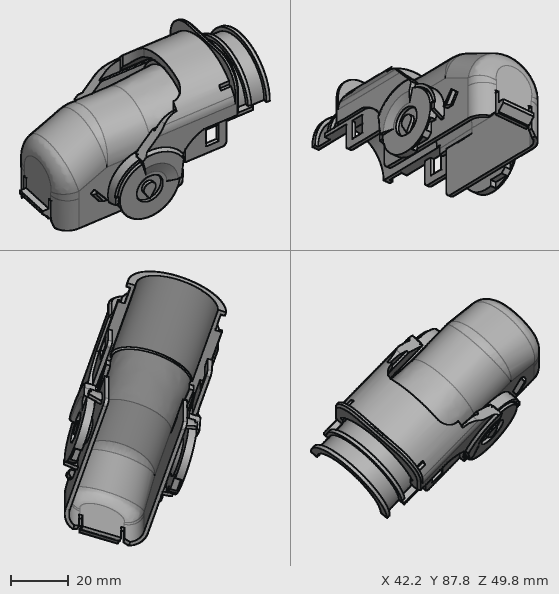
import cadquery as cq
import math


hood_half_width = 15.0
wall = 1.5
hood_axis_z = 12.8
hood_bottom_z = -9.3
skirt_back_y = 17.2
skirt_corner = 2.2
roof_start_y = 3.7
slope_start_y = -14.7
nose_y = -33.5
slope_angle = 24.8
crest_rounding = 8.8
nose_flat_half_width = 8.0
nose_rounding = hood_half_width - nose_flat_half_width

pipe_radius = 16.5
pipe_axis_z = 14.4
pipe_front_y = 21.5
pipe_back_y = 51.7
collar_radius = 18.0
end_collar_front_y = 50.2
mid_collar_back_y = 44.0
mid_collar_front_y = 42.6
neck_radius = 16.0
neck_axis_z = 13.2
neck_bottom_z = 10.5

rail_half_width = 19.0
rail_thickness = 1.6
tab_back_y = 32.8
tab_front_y = 15.5
tab_bottom_z = 3.9
tab_corner = 1.8
window_back_y = 29.7
window_front_y = 24.3
window_bottom_z = 7.0

lid_half_width = 20.0
lid_axis_z = 14.9
lid_radius = 21.6
lid_shoulder_rounding = 7.0
lid_inner_radius = 18.4
lid_inner_half_width = 16.95
lid_rail_half_width = 16.0
lid_shoulder_z = 21.9
lid_bottom_z = 16.2
lid_back_y = 37.6
lid_front_y = 12.7
opening_half_width = 15.5
opening_back_y = 18.1
opening_corner = 5.0
key_slot_front_y = 31.6
key_slot_bottom_z = 27.6
key_slot_top_z = 29.2
key_slot_inner_x = 16.25
plate_front_y = lid_back_y - 1.85
end_plate_top_z = 37.3
end_plate_corner = 11.0
end_plate_chamfer = 0.9

arm_heel_low = (13.2, 5.3)
arm_heel_high = (13.6, 8.4)
arm_underside_middle = (18.0, 13.7)
arm_underside_back_y = 22.8
arm_top_z = 27.1
arm_bend_middle = (9.7, 26.5)
arm_bend_end = (6.8, 24.85)
arm_front_corner = (-3.7, 14.05)
arm_tip_radius = 7.0
arm_edge_angle = math.radians(14.0)

disc_radius = 25.0 / 2
disc_inner_x = 17.0
recess_radius = 11.0 / 2
recess_depth = 1.3
drop_radius = 5.0 / 2
drop_tip_z = -4.65
cheek_x = 42.2 / 2
cheek_rim_radius = 16.7
cheek_slope_outer_radius = 11.0
cheek_slope_inner_radius = arm_tip_radius
guard_inner_radius = 13.0
guard_outer_radius = 14.2
guard_x = 19.05
guard_bottom_z = -3.3
guard_taper_z = -1.3
guard_lip_x = 19.8
guard_lip_top_z = 1.8
rim_notch_x = 19.4
rim_notches = [(-9.7, -8.0, -3.8), (-2.2, -12.3, -9.75)]
hub_radius = 6.85
hub_neck_radius = 3.95

latch_half_width = 7.0
latch_top_z = 1.8
latch_bottom_z = -7.1
latch_slot_half_width = 8.3
latch_slot_chamfer = 1.85
lip_tip_y = -36.1
lip_top_z = -2.55
lip_tip_z = -3.95
lip_root_z = -6.5

rib_outline = [(-15.8, -0.2), (-18.5, -0.2), (-21.3, 3.9), (-19.9, 5.1)]
rib_x = 16.9
rib_bevel = 1.05

reach = 87.8


def box(x0, x1, y0, y1, z0, z1):
    return cq.Workplane("XY").box(x1 - x0, y1 - y0, z1 - z0, centered=False).translate((x0, y0, z0))


def x_cylinder(radius, x0, x1):
    return cq.Workplane("YZ").workplane(offset=x0).circle(radius).extrude(x1 - x0)


def both_sides(solid):
    return solid.union(solid.mirror("YZ"))


def arch(y, radius, axis_z, bottom_z):
    """Arched section at the given Y: a half circle standing on two straight legs."""
    return (
        cq.Workplane("XZ", origin=(0, y, 0))
        .moveTo(-radius, bottom_z)
        .lineTo(-radius, axis_z)
        .threePointArc((0, axis_z + radius), (radius, axis_z))
        .lineTo(radius, bottom_z)
        .close()
    )


def half_disc(y_back, y_front, radius):
    upper = box(-reach, reach, y_front, y_back, pipe_axis_z, reach)
    disc = cq.Workplane("XZ", origin=(0, y_back, pipe_axis_z)).circle(radius).extrude(y_back - y_front)
    return disc.intersect(upper)


def hood_envelope(inset):
    """Hood without its cavity; a positive inset gives the cavity itself."""
    radius = hood_half_width - inset
    bottom_z = hood_bottom_z - inset
    front_y = nose_y + inset
    back_y = skirt_back_y + inset

    straight = arch(roof_start_y, radius, hood_axis_z, bottom_z).extrude(roof_start_y - slope_start_y)

    run = slope_start_y - front_y
    drop = run * math.tan(math.radians(slope_angle))
    slope_wire = arch(slope_start_y, radius, hood_axis_z, bottom_z).val()
    sloped = cq.Solid.extrudeLinear(slope_wire, [], cq.Vector(0, -run, -drop))
    nose = cq.Workplane(sloped).faces("<Y").edges("not <Z").fillet(nose_rounding - inset)
    nose = nose.intersect(box(-reach, reach, front_y, slope_start_y, bottom_z, reach))

    neck_front = arch(roof_start_y, radius, hood_axis_z, neck_bottom_z).val()
    neck_back = arch(pipe_front_y + inset, neck_radius - inset, neck_axis_z, neck_bottom_z).val()
    neck = cq.Workplane(cq.Solid.makeLoft([neck_front, neck_back], ruled=True))
    skirt = box(-radius, radius, roof_start_y, back_y, bottom_z, hood_axis_z)
    skirt = skirt.edges(">Y and <Z").fillet(skirt_corner)
    roof = straight.union(nose)
    crest_zone = cq.selectors.BoxSelector(
        (-radius, slope_start_y - wall, hood_axis_z), (radius, slope_start_y + wall, reach)
    )
    roof = roof.edges(crest_zone).fillet(crest_rounding)
    return roof.union(neck).union(skirt)


def latch():
    slot = (
        cq.Workplane("XZ")
        .moveTo(-latch_slot_half_width, latch_top_z)
        .lineTo(latch_slot_half_width, latch_top_z)
        .lineTo(latch_slot_half_width, latch_bottom_z)
        .lineTo(latch_slot_half_width + latch_slot_chamfer, hood_bottom_z)
        .lineTo(-latch_slot_half_width - latch_slot_chamfer, hood_bottom_z)
        .lineTo(-latch_slot_half_width, latch_bottom_z)
        .close()
        .extrude(reach)
    )
    tongue = box(-latch_half_width, latch_half_width, nose_y, nose_y + wall, latch_bottom_z, latch_top_z)
    lip = (
        cq.Workplane("YZ", origin=(-latch_half_width, 0, 0))
        .moveTo(nose_y, lip_top_z)
        .lineTo(lip_tip_y, lip_top_z)
        .lineTo(lip_tip_y, lip_tip_z)
        .lineTo(nose_y, lip_root_z)
        .close()
        .extrude(2 * latch_half_width)
    )
    return slot, tongue.union(lip)


def skirt_rib():
    rib = (
        cq.Workplane("YZ", origin=(hood_half_width - wall / 2, 0, 0))
        .polyline(rib_outline)
        .close()
        .extrude(rib_x - hood_half_width + wall / 2)
    )
    return rib.faces(">X").edges(">>Y[1]").chamfer(rib_bevel)


def pipe():
    tube = half_disc(pipe_back_y, pipe_front_y, pipe_radius)
    end_collar = half_disc(pipe_back_y, end_collar_front_y, collar_radius)
    mid_collar = half_disc(mid_collar_back_y, mid_collar_front_y, collar_radius)
    bore = half_disc(pipe_back_y, pipe_front_y + wall, pipe_radius - wall)
    return tube.union(end_collar).union(mid_collar), bore


def rail_and_tab():
    rail_top_z = pipe_axis_z + rail_thickness
    rail_inner_x = pipe_radius - wall / 2
    rail = box(rail_inner_x, rail_half_width, tab_front_y, mid_collar_back_y, pipe_axis_z, rail_top_z)
    tab_inner_x = rail_half_width - rail_thickness
    tab = box(tab_inner_x, rail_half_width, tab_front_y, tab_back_y, tab_bottom_z, rail_top_z)
    tab = tab.edges("|X and >Y and <Z").fillet(tab_corner)
    window = box(0, reach, window_front_y, window_back_y, window_bottom_z, pipe_axis_z)
    return rail.union(tab.cut(window))


def arm_outline():
    """Side outline of the lid and of the arms reaching down to the hinge."""
    tip_middle = arm_tip_radius * math.sqrt(0.5)
    return (
        cq.Workplane("YZ", origin=(-reach / 2, 0, 0))
        .moveTo(disc_radius, 0)
        .lineTo(*arm_heel_low)
        .lineTo(*arm_heel_high)
        .threePointArc(arm_underside_middle, (arm_underside_back_y, lid_bottom_z))
        .lineTo(plate_front_y, lid_bottom_z)
        .lineTo(plate_front_y, reach)
        .lineTo(lid_front_y, reach)
        .lineTo(lid_front_y, arm_top_z)
        .threePointArc(arm_bend_middle, arm_bend_end)
        .lineTo(*arm_front_corner)
        .lineTo(-arm_tip_radius * math.sin(arm_edge_angle), arm_tip_radius * math.cos(arm_edge_angle))
        .threePointArc((tip_middle, tip_middle), (arm_tip_radius, 0))
        .close()
        .extrude(reach)
    )


def lid():
    front_y = -disc_radius
    length = lid_back_y - front_y
    back_plane = cq.Workplane("XZ", origin=(0, lid_back_y, 0))
    roof = back_plane.center(0, lid_axis_z).circle(lid_radius).extrude(length)
    sides = box(-reach, reach, front_y, lid_back_y, 0, lid_axis_z)
    shell = box(-lid_half_width, lid_half_width, front_y, lid_back_y, 0, reach).intersect(roof.union(sides))
    shell = shell.edges("|Y").edges(">Z").fillet(lid_shoulder_rounding)
    shell = shell.intersect(arm_outline())

    plate = box(-lid_half_width, lid_half_width, plate_front_y, lid_back_y, lid_bottom_z, end_plate_top_z)
    plate = plate.edges("|Y and >Z").fillet(end_plate_corner)
    plate = plate.faces(">Y").edges().chamfer(end_plate_chamfer)
    key_slot = box(key_slot_inner_x, reach, key_slot_front_y, plate_front_y,
                   key_slot_bottom_z, key_slot_top_z)
    shell = shell.cut(both_sides(key_slot)).union(plate)

    vault = back_plane.center(0, lid_axis_z).circle(lid_inner_radius).extrude(length)
    vault = vault.intersect(box(-lid_inner_half_width, lid_inner_half_width, front_y, lid_back_y,
                                lid_shoulder_z, reach))
    channel = box(-lid_rail_half_width, lid_rail_half_width, front_y, lid_back_y, -reach, lid_shoulder_z)
    hinge_gap = box(-disc_inner_x, disc_inner_x, front_y, lid_back_y, -reach, pipe_axis_z)
    opening = box(-opening_half_width, opening_half_width, front_y, opening_back_y, lid_bottom_z, reach)
    opening = opening.edges("|Z and >Y").fillet(opening_corner)
    arm_gap = box(-lid_inner_half_width, lid_inner_half_width, front_y, lid_front_y, lid_shoulder_z, reach)
    return shell.cut(vault).cut(channel).cut(hinge_gap).cut(opening).cut(arm_gap)


def hinge_disc():
    disc = x_cylinder(disc_radius, disc_inner_x, lid_half_width)
    floor_x = lid_half_width - recess_depth
    recess = x_cylinder(recess_radius, floor_x, lid_half_width)
    tangent_angle = math.asin(drop_radius / -drop_tip_z)
    side_y = drop_radius * math.cos(tangent_angle)
    side_z = -drop_radius * math.sin(tangent_angle)
    drop = (
        cq.Workplane("YZ", origin=(floor_x, 0, 0))
        .moveTo(0, drop_tip_z)
        .lineTo(side_y, side_z)
        .threePointArc((0, drop_radius), (-side_y, side_z))
        .close()
        .extrude(recess_depth)
    )
    root_x = hood_half_width - wall / 2
    hub = (
        cq.Workplane("XY")
        .polyline([(root_x, 0), (root_x, hub_neck_radius),
                   (hood_half_width, hub_neck_radius), (disc_inner_x, hub_radius), (disc_inner_x, 0)])
        .close()
        .revolve(360, (0, 0, 0), (1, 0, 0))
    )
    for wall_y, bottom_z, top_z in rim_notches:
        disc = disc.cut(box(disc_inner_x, rim_notch_x, -reach, wall_y, bottom_z, top_z))
    return disc.cut(recess).union(drop).union(hub)


def hinge_cheek():
    """Raised pad on the arm, bevelled at its rim and sloping down toward the pivot."""
    rise = cheek_x - lid_half_width
    pad = (
        cq.Workplane("XY")
        .polyline([(lid_half_width, cheek_slope_inner_radius), (cheek_x, cheek_slope_outer_radius),
                   (cheek_x, cheek_rim_radius - rise), (lid_half_width, cheek_rim_radius),
                   (disc_inner_x, cheek_rim_radius), (disc_inner_x, cheek_slope_inner_radius)])
        .close()
        .revolve(360, (0, 0, 0), (1, 0, 0))
    )
    return pad.intersect(arm_outline())


def hinge_guard():
    """Curved guard around the upper part of the disc, its ends tapered toward the hood."""
    root_x = hood_half_width - wall / 2
    ring = x_cylinder(guard_outer_radius, root_x, guard_lip_x)
    ring = ring.cut(x_cylinder(guard_inner_radius, 0, reach))
    keep = (
        cq.Workplane("XZ", origin=(0, reach / 2, 0))
        .moveTo(0, guard_bottom_z)
        .lineTo(hood_half_width, guard_bottom_z)
        .lineTo(guard_lip_x, guard_taper_z)
        .lineTo(guard_lip_x, guard_lip_top_z)
        .lineTo(guard_x, guard_lip_top_z)
        .lineTo(guard_x, reach)
        .lineTo(0, reach)
        .close()
        .extrude(reach)
    )
    return ring.intersect(keep)


pipe_body, pipe_bore = pipe()
latch_slot, latch_tongue = latch()

cover = hood_envelope(0).union(pipe_body)
cover = cover.union(both_sides(rail_and_tab()))
cover = cover.cut(hood_envelope(wall)).cut(pipe_bore)
cover = cover.cut(latch_slot).union(latch_tongue)

hinge = hinge_disc().union(hinge_cheek()).union(hinge_guard()).union(skirt_rib())
result = cover.union(lid()).union(both_sides(hinge))